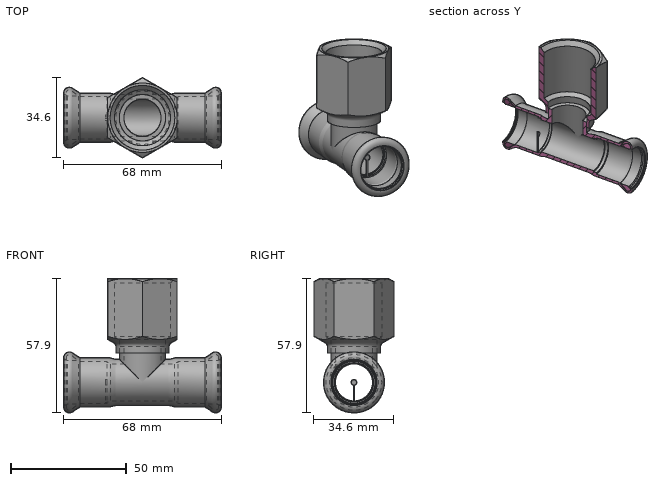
import cadquery as cq
import math


run_length = 68.0
half_run = run_length / 2
bore_radius = 16.0 / 2
body_radius = 20.0 / 2
tube_radius = 21.3 / 2
reducer_outer_x = 14.0
reducer_inner_x = 11.4

socket_radius = 18.2 / 2
socket_bottom_x = 15.3
stop_radius = 17.0 / 2
stop_bottom_x = 13.8
mouth_radius = body_radius

bead_radius = 2.5
bead_center_x = half_run - bead_radius
bead_flank_start_x = 26.9
bead_flank_end_x = 29.8
bead_wall = 1.15
seal_bore_radius = 18.8 / 2
seal_inner_end_x = 27.6
socket_taper_end_x = 26.7
mouth_cone_start_x = 33.45
mouth_cone_end_x = 32.3

disc_radius = 1.2
stem_width = 0.6
stem_reach = 8.7
disc_thickness = 0.7

adapter_bottom_z = 12.6
collar_top_z = 15.45
adapter_top_z = 44.75
collar_radius = 23.0 / 2
hex_corner_radius = 34.6 / 2
hex_flat_radius = hex_corner_radius * math.cos(math.pi / 6)
cone_slope_angle = math.radians(30)
hex_slope = math.tan(cone_slope_angle)
throat_fillet = 1.85
thread_radius = 24.15 / 2
thread_mouth_radius = 27.9 / 2
thread_mouth_depth = thread_mouth_radius - thread_radius
thread_bottom_z = 19.7


def revolve_about_x(profile):
    """Revolve a profile drawn with X along the run and Y as the radius."""
    return profile.close().revolve(360, (0, 0, 0), (1, 0, 0))


def run_end_outer():
    """Outside of the +X half of the run, with its reducer and bead."""
    flank_end_radius = tube_radius + math.sqrt(
        bead_radius**2 - (bead_center_x - bead_flank_end_x) ** 2
    )
    return revolve_about_x(
        cq.Workplane("XY")
        .lineTo(0, body_radius)
        .lineTo(reducer_inner_x, body_radius)
        .lineTo(reducer_outer_x, tube_radius)
        .lineTo(bead_flank_start_x, tube_radius)
        .lineTo(bead_flank_end_x, flank_end_radius)
        .threePointArc(
            (bead_center_x, tube_radius + bead_radius),
            (half_run, tube_radius),
        )
        .lineTo(half_run, 0)
    )


def run_end_inner():
    """Space inside the +X half of the run: bore, stop recess, socket and mouth."""
    return revolve_about_x(
        cq.Workplane("XY")
        .lineTo(0, bore_radius)
        .lineTo(stop_bottom_x, bore_radius)
        .lineTo(stop_bottom_x, stop_radius)
        .lineTo(socket_bottom_x, stop_radius)
        .lineTo(socket_bottom_x, socket_radius)
        .lineTo(socket_taper_end_x, socket_radius)
        .lineTo(seal_inner_end_x, seal_bore_radius)
        .lineTo(mouth_cone_end_x, seal_bore_radius)
        .lineTo(mouth_cone_start_x, mouth_radius)
        .lineTo(half_run, mouth_radius)
        .lineTo(half_run, 0)
    )


def make_seal(side):
    """Seal that fills the bead; side is +1 for the +X end, -1 for the -X end."""
    crown_radius = bead_radius - bead_wall
    back_run = bead_center_x - seal_inner_end_x
    back_rise = tube_radius - seal_bore_radius
    tangent_angle = math.acos(crown_radius / math.hypot(back_run, back_rise))
    tangent_angle -= math.atan2(back_rise, back_run)
    tangent_x = bead_center_x - crown_radius * math.cos(tangent_angle)
    tangent_radius = tube_radius + crown_radius * math.sin(tangent_angle)
    seal = revolve_about_x(
        cq.Workplane("XY")
        .moveTo(seal_inner_end_x, seal_bore_radius)
        .lineTo(tangent_x, tangent_radius)
        .threePointArc(
            (bead_center_x, tube_radius + crown_radius),
            (bead_center_x + crown_radius, tube_radius),
        )
        .lineTo(bead_center_x + crown_radius, seal_bore_radius)
    ).cut(run_end_inner())
    return seal if side > 0 else seal.mirror("YZ")


def both_ends(half):
    """Join a +X half of the run to its mirror image."""
    return half.union(half.mirror("YZ"))


def make_stem_disc():
    """Disc on the run axis, held by a stem from the floor of the -X socket."""
    plane = cq.Workplane("YZ", origin=(-socket_bottom_x - disc_thickness, 0, 0))
    disc = plane.circle(disc_radius).extrude(disc_thickness)
    stem = plane.center(0, -stem_reach / 2).rect(stem_width, stem_reach).extrude(disc_thickness)
    return disc.union(stem)


def make_tee():
    """Run and branch neck in one piece, with a groove for each seal."""
    neck = cq.Workplane("XY").circle(body_radius).extrude(collar_top_z)
    branch_bore = cq.Workplane("XY").circle(bore_radius).extrude(collar_top_z)
    tee = both_ends(run_end_outer()).union(neck)
    tee = tee.cut(both_ends(run_end_inner())).cut(branch_bore)
    for side in (-1, 1):
        tee = tee.cut(make_seal(side))
    return tee.union(make_stem_disc()).clean()


def make_adapter():
    """Hex socket that fits over the branch neck."""
    fillet_sweep = math.pi / 2 - cone_slope_angle
    fillet_end_radius = collar_radius + throat_fillet * (1 - math.cos(fillet_sweep))
    fillet_end_z = collar_top_z + throat_fillet * math.sin(fillet_sweep)
    fillet_mid_radius = collar_radius + throat_fillet * (1 - math.cos(fillet_sweep / 2))
    fillet_mid_z = collar_top_z + throat_fillet * math.sin(fillet_sweep / 2)
    lower_corner_z = fillet_end_z + (hex_corner_radius - fillet_end_radius) * hex_slope
    upper_corner_z = adapter_top_z - (hex_corner_radius - hex_flat_radius) * hex_slope
    turned = (
        cq.Workplane("XZ")
        .moveTo(0, adapter_bottom_z)
        .lineTo(collar_radius, adapter_bottom_z)
        .lineTo(collar_radius, collar_top_z)
        .threePointArc((fillet_mid_radius, fillet_mid_z), (fillet_end_radius, fillet_end_z))
        .lineTo(hex_corner_radius, lower_corner_z)
        .lineTo(hex_corner_radius, upper_corner_z)
        .lineTo(hex_flat_radius, adapter_top_z)
        .lineTo(0, adapter_top_z)
        .close()
        .revolve(360, (0, 0, 0), (0, 1, 0))
    )
    hexagon = (
        cq.Workplane("XY", origin=(0, 0, adapter_bottom_z))
        .transformed(rotate=(0, 0, 90))
        .polygon(6, 2 * hex_corner_radius)
        .extrude(adapter_top_z - adapter_bottom_z)
    )
    floor_low_z = thread_bottom_z - (thread_radius - body_radius) * hex_slope
    opening = (
        cq.Workplane("XZ")
        .moveTo(0, adapter_bottom_z)
        .lineTo(body_radius, adapter_bottom_z)
        .lineTo(body_radius, floor_low_z)
        .lineTo(thread_radius, thread_bottom_z)
        .lineTo(thread_radius, adapter_top_z - thread_mouth_depth)
        .lineTo(thread_mouth_radius, adapter_top_z)
        .lineTo(0, adapter_top_z)
        .close()
        .revolve(360, (0, 0, 0), (0, 1, 0))
    )
    return turned.intersect(hexagon).cut(opening)


tee = make_tee()
adapter = make_adapter()
seals = [make_seal(side) for side in (-1, 1)]

result = cq.Compound.makeCompound(
    [tee.solids().val(), adapter.solids().val(), *[seal.solids().val() for seal in seals]]
)